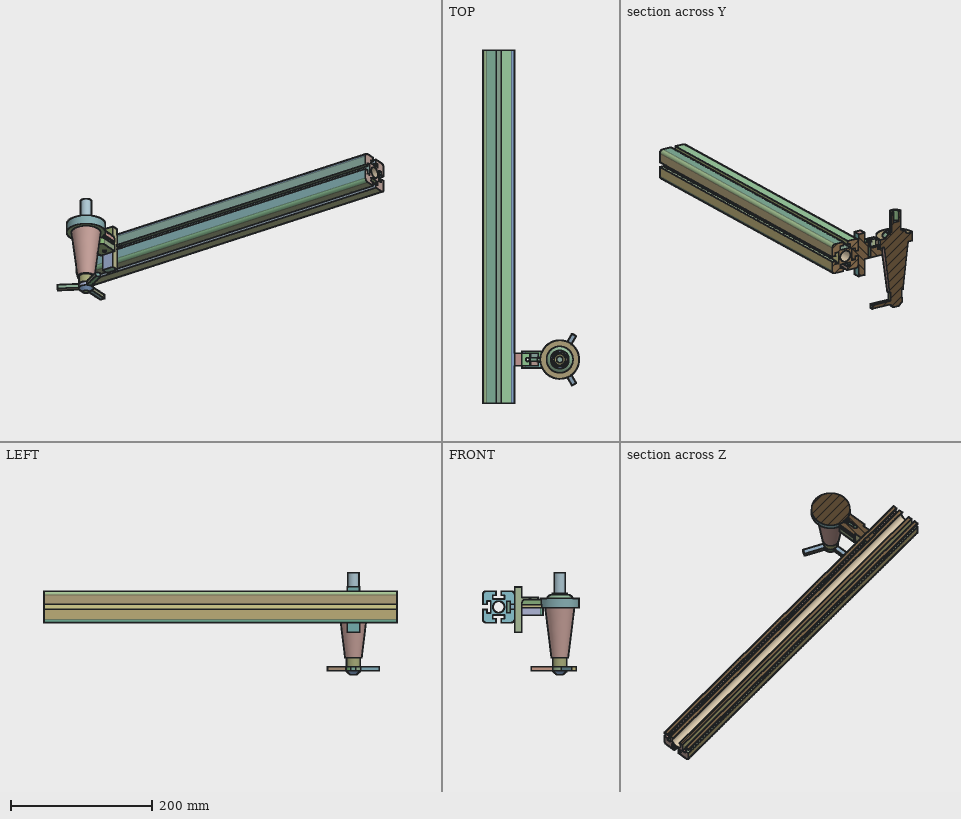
import cadquery as cq

BEAM_LENGTH = 500
BEAM_SIDE = 45
BEAM_CORNER_RADIUS = 5
BEAM_BORE_DIAMETER = 16.0
SLOT_MOUTH_WIDTH = 7.0
SLOT_LIP_THICKNESS = 6.0
SLOT_CHAMBER_WIDTH = 16.5
SLOT_DEPTH = 11.0

AXIS_X = 86.5
AXIS_Y = 62.0
ROD_DIAMETER = 16.0
ROD_HOLE_DIAMETER = 9.0
ROD_HOLE_DEPTH = 15
COLLAR_DIAMETER = 21.0
DOME_TOP_DIAMETER = 26.0
DOME_BASE_DIAMETER = 37.5
DOME_BULGE = 0.5
FLANGE_DIAMETER = 55
CONE_TOP_DIAMETER = 41.5
CONE_BOTTOM_DIAMETER = 24.0
NECK_DIAMETER = 20
HUB_DIAMETER = 21.0
HUB_TIP_DIAMETER = 9.0
ROD_TOP = 48.5
COLLAR_TOP = 19.5
DOME_TOP = 17.5
FLANGE_TOP = 12.0
FLANGE_BOTTOM = -1.5
CONE_BOTTOM = -72.0
HUB_TOP = -84.5
HUB_BOTTOM = -90.5
HANDLE_HEIGHT = 144.5
HANDLE_BOTTOM = ROD_TOP - HANDLE_HEIGHT
LEVER_COUNT = 3
FIRST_LEVER_ANGLE = 180
LEVER_REACH = 40.5
LEVER_WIDTH = 7.0

PLATE_THICKNESS = 10.5
PLATE_WIDTH = 18.0
PLATE_TOP = 28.5
TONGUE_NECK_LENGTH = 12.0
PLATE_BOTTOM = -36.0
ARM_WIDTH = 24.0
ARM_WAIST_WIDTH = 22.0
RIDGE_TOP = 13.5
RIDGE_END_X = 56.0
CHEEK_TOP = 10.5
CHEEK_BOTTOM = 3.0
CHEEK_END_X = 60.5
CHEEK_ROUNDING = 4.5
ARM_BOTTOM = -12.0
FOOT_END_X = 63.0
FOOT_ROUNDING = 4.5
PIN_HOLE_DIAMETER = 5
PIN_HOLE_X = 41.0
GROOVE_X = 44.5
GROOVE_WIDTH = 1.5
GROOVE_DEPTH = 1.5
ARM_SLOT_WIDTH = 4.5
SEAT_DIAMETER = 7.0
SEAT_X = 57.0

BEAM_FACE = BEAM_SIDE / 2
PLATE_FACE_X = BEAM_FACE + PLATE_THICKNESS


def box(x_range, y_range, z_range):
    """Box spanning the given (low, high) pairs."""
    sizes = [high - low for low, high in (x_range, y_range, z_range)]
    corner = (x_range[0], y_range[0], z_range[0])
    return cq.Workplane("XY").box(*sizes, centered=False).translate(corner)


def arm_box(x_low, x_high, width, z_low, z_high):
    """Box centred across the arm."""
    return box((x_low, x_high), (AXIS_Y - width / 2, AXIS_Y + width / 2), (z_low, z_high))


def slot_shape(middle_y, chamber_length, mouth_length):
    """T-shaped filling of the +X slot, centred at a station along the beam."""
    chamber_y = (middle_y - chamber_length / 2, middle_y + chamber_length / 2)
    mouth_y = (middle_y - mouth_length / 2, middle_y + mouth_length / 2)
    lip_x = BEAM_FACE - SLOT_LIP_THICKNESS
    floor_x = BEAM_FACE - SLOT_DEPTH
    mouth = box((floor_x, BEAM_FACE), mouth_y, (-SLOT_MOUTH_WIDTH / 2, SLOT_MOUTH_WIDTH / 2))
    chamber = box((floor_x, lip_x), chamber_y, (-SLOT_CHAMBER_WIDTH / 2, SLOT_CHAMBER_WIDTH / 2))
    return mouth.union(chamber)


def make_beam():
    beam = (
        box((-BEAM_FACE, BEAM_FACE), (0, BEAM_LENGTH), (-BEAM_FACE, BEAM_FACE))
        .edges("|Y")
        .fillet(BEAM_CORNER_RADIUS)
    )
    slot = slot_shape(BEAM_LENGTH / 2, BEAM_LENGTH, BEAM_LENGTH)
    for quarter_turn in range(4):
        beam = beam.cut(slot.rotate((0, 0, 0), (0, 1, 0), 90 * quarter_turn))
    bore = cq.Workplane("XZ").circle(BEAM_BORE_DIAMETER / 2).extrude(-BEAM_LENGTH)
    return beam.cut(bore)


def vertical_cylinder(x, diameter, z_low, z_high):
    """Vertical cylinder in the middle plane of the arm."""
    base = cq.Workplane("XY").workplane(offset=z_low).center(x, AXIS_Y)
    return base.circle(diameter / 2).extrude(z_high - z_low)


def make_arm():
    ridge = arm_box(PLATE_FACE_X, RIDGE_END_X, PLATE_WIDTH, CHEEK_BOTTOM, RIDGE_TOP)
    cheeks = (
        arm_box(PLATE_FACE_X, CHEEK_END_X, ARM_WIDTH, CHEEK_BOTTOM, CHEEK_TOP)
        .edges("<X and >Z")
        .fillet(CHEEK_ROUNDING)
    )
    waist = arm_box(PLATE_FACE_X, FOOT_END_X, ARM_WAIST_WIDTH, FLANGE_BOTTOM, CHEEK_BOTTOM)
    foot = (
        arm_box(PLATE_FACE_X, FOOT_END_X, ARM_WIDTH, ARM_BOTTOM, FLANGE_BOTTOM)
        .edges("|Z and >X")
        .fillet(FOOT_ROUNDING)
    )
    arm = ridge.union(cheeks).union(waist).union(foot)

    pin_hole = vertical_cylinder(PIN_HOLE_X, PIN_HOLE_DIAMETER, ARM_BOTTOM, RIDGE_TOP)
    groove = arm_box(
        GROOVE_X - GROOVE_WIDTH / 2, GROOVE_X + GROOVE_WIDTH / 2, PLATE_WIDTH,
        RIDGE_TOP - GROOVE_DEPTH, RIDGE_TOP,
    )
    slot = arm_box(GROOVE_X, CHEEK_END_X, ARM_SLOT_WIDTH, CHEEK_BOTTOM, RIDGE_TOP)
    seat = vertical_cylinder(SEAT_X, SEAT_DIAMETER, CHEEK_BOTTOM, RIDGE_TOP)
    seat_hole = vertical_cylinder(SEAT_X, PIN_HOLE_DIAMETER, FLANGE_BOTTOM, CHEEK_BOTTOM)
    for opening in (pin_hole, groove, slot, seat, seat_hole):
        arm = arm.cut(opening)
    return arm


def make_bracket():
    plate = arm_box(BEAM_FACE, PLATE_FACE_X, PLATE_WIDTH, PLATE_BOTTOM, PLATE_TOP)
    tongue = slot_shape(AXIS_Y, PLATE_WIDTH, TONGUE_NECK_LENGTH)
    flange_space = vertical_cylinder(AXIS_X, FLANGE_DIAMETER, FLANGE_BOTTOM, RIDGE_TOP)
    return plate.union(tongue).union(make_arm().cut(flange_space))


def make_lever(angle):
    """Flat radial lever; the angle is measured from +X about the handle axis."""
    lever = cq.Workplane("XY").workplane(offset=HUB_BOTTOM).rect(LEVER_REACH, LEVER_WIDTH)
    lever = lever.extrude(HUB_TOP - HUB_BOTTOM).translate((LEVER_REACH / 2, 0, 0))
    return lever.rotate((0, 0, 0), (0, 0, 1), angle)


def make_handle():
    dome_middle = (
        (DOME_TOP_DIAMETER + DOME_BASE_DIAMETER) / 4 + DOME_BULGE,
        (DOME_TOP + FLANGE_TOP) / 2 + DOME_BULGE,
    )
    handle = (
        cq.Workplane("XZ")
        .moveTo(0, ROD_TOP)
        .lineTo(ROD_DIAMETER / 2, ROD_TOP)
        .lineTo(ROD_DIAMETER / 2, COLLAR_TOP)
        .lineTo(COLLAR_DIAMETER / 2, COLLAR_TOP)
        .lineTo(COLLAR_DIAMETER / 2, DOME_TOP)
        .lineTo(DOME_TOP_DIAMETER / 2, DOME_TOP)
        .threePointArc(dome_middle, (DOME_BASE_DIAMETER / 2, FLANGE_TOP))
        .lineTo(FLANGE_DIAMETER / 2, FLANGE_TOP)
        .lineTo(FLANGE_DIAMETER / 2, FLANGE_BOTTOM)
        .lineTo(CONE_TOP_DIAMETER / 2, FLANGE_BOTTOM)
        .lineTo(CONE_BOTTOM_DIAMETER / 2, CONE_BOTTOM)
        .lineTo(NECK_DIAMETER / 2, CONE_BOTTOM)
        .lineTo(NECK_DIAMETER / 2, HUB_TOP)
        .lineTo(HUB_DIAMETER / 2, HUB_TOP)
        .lineTo(HUB_DIAMETER / 2, HUB_BOTTOM)
        .lineTo(HUB_TIP_DIAMETER / 2, HANDLE_BOTTOM)
        .lineTo(0, HANDLE_BOTTOM)
        .close()
        .revolve(360, (0, 0, 0), (0, 1, 0))
    )
    for index in range(LEVER_COUNT):
        handle = handle.union(make_lever(FIRST_LEVER_ANGLE + index * 360 / LEVER_COUNT))
    handle = handle.faces(">Z").workplane().hole(ROD_HOLE_DIAMETER, ROD_HOLE_DEPTH)
    return handle.translate((AXIS_X, AXIS_Y, 0))


beam = make_beam().solids()
bracket = make_bracket().solids()
handle = make_handle().solids()

result = cq.Compound.makeCompound([beam.val(), bracket.val(), handle.val()])